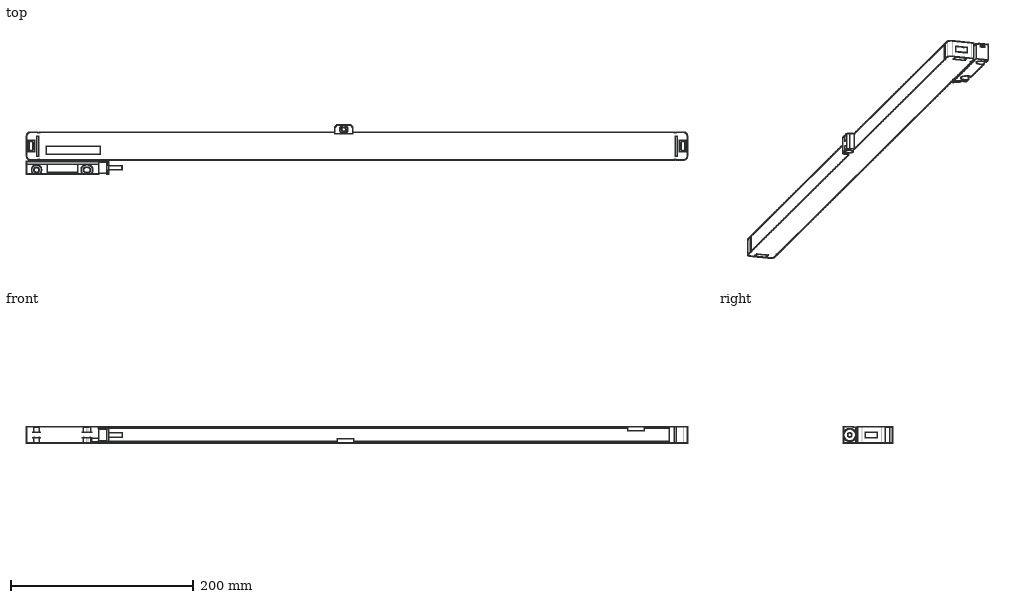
import cadquery as cq

length = 725.0
height = 18.0
mid_height = height / 2
overall_depth = 54.0

housing_front = 15.4
housing_back = 46.0
housing_middle = (housing_front + housing_back) / 2
front_recess_margin = 1.9
front_recess_depth = 0.5
front_recess_end_gap = 20.0

cap_length = 14.5
cap_corner_radius = 4.5
joint_groove_width = 2.0
joint_groove_depth = 0.5
gasket_start = 11.0
gasket_length = 2.2
gasket_width = 22.0
gasket_depth = 0.3

web_thickness = 6.0
pocket_depth = (height - web_thickness) / 2
cap_pocket_start = 1.6
cap_pocket_end = 9.3
cap_pocket_width = 13.0
cap_slot_center = 4.9
cap_slot_width = 4.0
cap_slot_length = 11.0
end_panel_depth = 0.3

support_x = 348.0
support_base_width = 20.0
support_top_width = 15.0
support_corner = 3.0
support_inset = 2.0
support_step = 0.1
support_hole_diameter = 4.5
support_bore_diameter = 9.0
support_hole_y = 49.0

label_x = 51.3
label_y = 26.0
label_length = 59.0
label_width = 8.8
label_depth = 0.2
tab_length = 18.0
tab_height = 4.6
upper_tab_x = 668.5
lower_tab_x = 350.0

head_length = 79.0
head_depth = 14.0
head_ledge_depth = 3.0
head_ledge_drop = 0.5
round_hole_x = 11.0
slotted_hole_x = 66.3
slot_travel = 2.0
head_hole_y = 4.5
head_hole_diameter = 5.5
head_bore_diameter = 11.0
cover_start = 22.5
cover_end = 56.0
cover_front = 2.0
cover_back = 11.0
cover_depth = 0.3
inset_depth = 0.3
end_inset_front = 4.0
end_inset_back = 9.0
end_inset_bottom = 14.3
end_inset_top = 16.3
front_inset_start = 71.5
front_inset_bottom = 1.5
front_inset_top = 5.5

cable_y = 7.0
collar_diameter = 12.5
collar_end = 88.0
flange_diameter = 14.0
flange_end = 90.0
cable_diameter = 4.6
cable_end = 105.0


def block(x0, x1, y0, y1, z0, z1):
    return cq.Workplane("XY").box(x1 - x0, y1 - y0, z1 - z0, centered=False).translate((x0, y0, z0))


def both_pockets(outline):
    """Upper and lower lug pockets from an outline that is one pocket tall and starts at Z = 0."""
    return outline.union(outline.translate((0, 0, height - pocket_depth)))


def make_left_cap():
    cap = (
        cq.Workplane("XY")
        .moveTo(cap_length, housing_front)
        .lineTo(0, housing_front)
        .lineTo(0, housing_back)
        .lineTo(cap_length, housing_back)
        .close()
        .extrude(height)
        .edges("<X and |Z")
        .fillet(cap_corner_radius)
    )
    pocket = block(
        cap_pocket_start, cap_pocket_end,
        housing_middle - cap_pocket_width / 2, housing_middle + cap_pocket_width / 2,
        0, pocket_depth,
    )
    slot = (
        cq.Workplane("XY")
        .center(cap_slot_center, housing_middle)
        .slot2D(cap_slot_length, cap_slot_width, 90)
        .extrude(height)
    )
    cap = cap.cut(both_pockets(pocket)).cut(slot)
    end_panel = block(
        0, end_panel_depth,
        housing_middle - cap_pocket_width / 2, housing_middle + cap_pocket_width / 2,
        pocket_depth, pocket_depth + web_thickness,
    )
    gasket_seat = block(
        gasket_start, gasket_start + gasket_length,
        housing_middle - gasket_width / 2, housing_middle + gasket_width / 2,
        height - gasket_depth, height,
    )
    cap = cap.cut(end_panel).cut(gasket_seat)
    groove_start = cap_length - joint_groove_width
    for y in (housing_front, housing_back - joint_groove_depth):
        cap = cap.cut(block(groove_start, cap_length, y, y + joint_groove_depth, 0, height))
    return cap


def make_support_lug():
    base = support_base_width / 2
    top = support_top_width / 2
    return (
        cq.Workplane("XY")
        .moveTo(-base, housing_back - support_inset)
        .lineTo(-base, overall_depth - support_corner)
        .lineTo(-top, overall_depth)
        .lineTo(top, overall_depth)
        .lineTo(base, overall_depth - support_corner)
        .lineTo(base, housing_back - support_inset)
        .close()
        .extrude(height - support_step)
        .translate((support_x, 0, 0))
    )


def make_support_holes():
    center = cq.Workplane("XY").center(support_x, support_hole_y)
    bores = both_pockets(center.circle(support_bore_diameter / 2).extrude(pocket_depth))
    return bores.union(center.circle(support_hole_diameter / 2).extrude(height))


def make_front_recess():
    """Long shallow recess of the front face, with the two tabs left standing in it."""
    recess_back = housing_front + front_recess_depth
    recess = block(
        front_recess_end_gap, length - front_recess_end_gap,
        housing_front, recess_back, front_recess_margin, height - front_recess_margin,
    )
    for x, z in ((upper_tab_x, height - tab_height), (lower_tab_x, 0)):
        tab = block(
            x - tab_length / 2, x + tab_length / 2, housing_front, recess_back, z, z + tab_height
        )
        recess = recess.cut(tab)
    return recess


def make_scale():
    bar = block(cap_length, length - cap_length, housing_front, housing_back, 0, height)
    label = block(
        label_x - label_length / 2, label_x + label_length / 2,
        label_y - label_width / 2, label_y + label_width / 2,
        height - label_depth, height,
    )
    bar = bar.cut(label).cut(make_front_recess())
    support_seat = block(
        support_x - support_base_width / 2, support_x + support_base_width / 2,
        housing_back - support_inset, housing_back, height - support_step, height,
    )
    bar = bar.cut(support_seat).union(make_support_lug()).cut(make_support_holes())
    left_cap = make_left_cap()
    right_cap = left_cap.mirror("YZ").translate((length, 0, 0))
    return bar.union(left_cap).union(right_cap).clean()


def make_cable_stage(diameter, x0, x1):
    return (
        cq.Workplane("YZ", origin=(x0, cable_y, mid_height))
        .circle(diameter / 2)
        .extrude(x1 - x0)
    )


def make_head_hole(x, travel):
    """Through hole with a pocket from each side, both stretched along X by the travel."""
    def outline(diameter, tall):
        center = cq.Workplane("XY").center(x, head_hole_y)
        if travel == 0:
            return center.circle(diameter / 2).extrude(tall)
        return center.slot2D(diameter + travel, diameter).extrude(tall)

    bores = both_pockets(outline(head_bore_diameter, pocket_depth))
    return bores.union(outline(head_hole_diameter, height))


def make_reading_head():
    head = block(0, head_length, 0, head_depth, 0, height)
    ledge = block(
        0, head_length, head_depth - head_ledge_depth, head_depth, height - head_ledge_drop, height
    )
    cover = block(cover_start, cover_end, cover_front, cover_back, height - cover_depth, height)
    head = head.cut(ledge).cut(cover)
    end_inset = block(
        0, inset_depth, end_inset_front, end_inset_back, end_inset_bottom, end_inset_top
    )
    front_inset = block(
        front_inset_start, head_length, 0, inset_depth, front_inset_bottom, front_inset_top
    )
    head = head.cut(end_inset).cut(front_inset)
    head = head.cut(make_head_hole(round_hole_x, 0)).cut(make_head_hole(slotted_hole_x, slot_travel))
    head = head.union(make_cable_stage(collar_diameter, head_length, collar_end))
    head = head.union(make_cable_stage(flange_diameter, collar_end, flange_end))
    return head.union(make_cable_stage(cable_diameter, flange_end, cable_end))


scale = make_scale()
reading_head = make_reading_head()

result = cq.Compound.makeCompound([scale.val(), reading_head.val()])